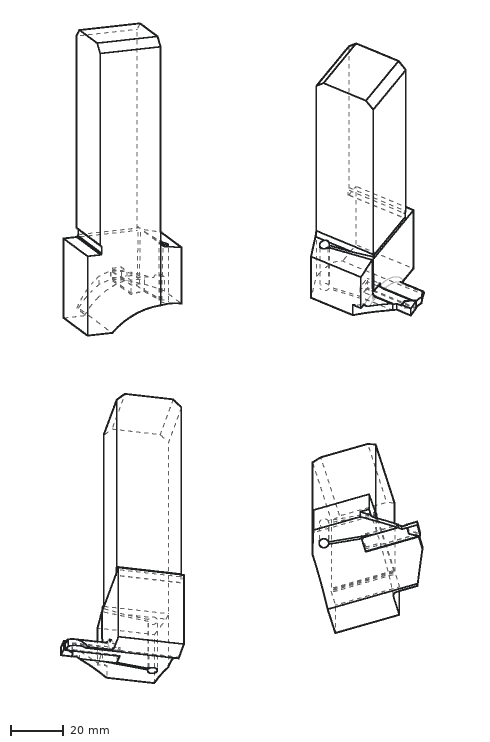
import cadquery as cq
import math

HEAD_LENGTH = 25.7
HEAD_WIDTH = 40.0
HEAD_HEIGHT = 31.8
TOTAL_HEIGHT = 115.7
SHANK_FRONT = 5.2
SHANK_BACK = 30.1
SHANK_CHAMFER = 3.2
SHOULDER_STEP = 0.3
SHOULDER_HEIGHT = 1.0
UNDERCUT_DEPTH = 0.7
UNDERCUT_FOOT = 0.5
UNDERCUT_TOP = 35.6

JAW_NECK_HEIGHT = 33.7
JAW_NECK_Y = 31.7
JAW_NECK_FOOT = 32.2
JAW_BACK_HEIGHT = 30.1
JAW_BACK_LENGTH = 22.2

ARC_CENTRE_Y = 31.2
BLADE_TOP = 12.5
BLADE_UNDERSIDE = 8.9
TOP_ARC_FOOT_Y = 9.3
UNDERSIDE_ARC_FOOT_Y = 10.2
BLADE_REACH = 15.5
BLADE_FILLET = 1.5
BLADE_BEVEL_Y = 20.5
BLADE_FOOT_REACH = 10.1
RELIEF_ROOT_Y = 37.5
RELIEF_TOP = 13.2

SLIT_WIDTH = 0.9
SLIT_ENTRY_Y = 30.4
SLIT_LEAN = 0.7
HOLE_X = 20.1
HOLE_Y = 33.3
HOLE_RADIUS = 1.9

INSERT_BOTTOM_Y = 25.5
INSERT_TOP_Y = 31.1
RAKE_Y = 30.1
TIP_REACH = 16.3
TIP_BACK_REACH = 12.1
TIP_HEEL_Y = 27.5
TIP_CLEARANCE = 0.2
RAKE_BACK_REACH = 10.2
JAW_TIP_REACH = 8.9
TIP_UNDERSIDE = 8.8
TIP_TOP = 12.6
INSERT_TOP = 12.1
SEAT_DEPTH = 5.8
SEAT_TOP = 14.0

MARGIN = 5.8


def arc_prism(peak, foot_y, x_start, x_end):
    """Cylinder segment below an arc of given peak that meets Z = 0 at foot_y."""
    half_span = ARC_CENTRE_Y - foot_y
    radius = (half_span**2 + peak**2) / (2 * peak)
    return (
        cq.Workplane("YZ", origin=(x_start, ARC_CENTRE_Y, peak - radius))
        .circle(radius)
        .extrude(x_end - x_start)
    )


def make_head():
    side = [
        (0, 0),
        (HEAD_WIDTH, 0),
        (HEAD_WIDTH, JAW_BACK_HEIGHT),
        (JAW_NECK_Y, JAW_NECK_FOOT),
        (SHANK_BACK, JAW_NECK_HEIGHT),
        (SHANK_BACK, HEAD_HEIGHT),
        (0, HEAD_HEIGHT),
    ]
    head = cq.Workplane("YZ").polyline(side).close().extrude(HEAD_LENGTH)
    back_bevel = (
        cq.Workplane("XY")
        .polyline([(JAW_BACK_LENGTH, HEAD_WIDTH), (HEAD_LENGTH, HEAD_WIDTH), (HEAD_LENGTH, SHANK_BACK)])
        .close()
        .extrude(TOTAL_HEIGHT)
    )
    return head.cut(back_bevel)


def make_shank():
    shoulder_top = HEAD_HEIGHT + SHOULDER_HEIGHT
    outline = [
        (0, HEAD_HEIGHT),
        (HEAD_LENGTH, HEAD_HEIGHT),
        (HEAD_LENGTH, TOTAL_HEIGHT - SHANK_CHAMFER),
        (HEAD_LENGTH - SHANK_CHAMFER, TOTAL_HEIGHT),
        (SHOULDER_STEP + SHANK_CHAMFER, TOTAL_HEIGHT),
        (SHOULDER_STEP, TOTAL_HEIGHT - SHANK_CHAMFER),
        (SHOULDER_STEP, shoulder_top),
    ]
    shank = (
        cq.Workplane("XZ", origin=(0, SHANK_BACK, 0))
        .polyline(outline)
        .close()
        .extrude(SHANK_BACK - SHANK_FRONT)
    )
    undercut_y = SHANK_FRONT + UNDERCUT_DEPTH
    undercut = (
        cq.Workplane("YZ")
        .polyline([
            (SHANK_FRONT, HEAD_HEIGHT),
            (undercut_y - UNDERCUT_FOOT, HEAD_HEIGHT),
            (undercut_y, HEAD_HEIGHT + UNDERCUT_FOOT),
            (undercut_y, UNDERCUT_TOP - UNDERCUT_DEPTH),
            (SHANK_FRONT, UNDERCUT_TOP),
        ])
        .close()
        .extrude(HEAD_LENGTH)
    )
    return shank.cut(undercut)


def make_blade_segment():
    """Full-reach blade above Z = 0, still without its plan shape and underside."""
    keep = cq.Workplane("XY").box(
        BLADE_REACH, HEAD_WIDTH, TOTAL_HEIGHT, centered=False
    ).translate((-BLADE_REACH, 0, 0))
    return arc_prism(BLADE_TOP, TOP_ARC_FOOT_Y, -BLADE_REACH, 0).intersect(keep)


def fillet_blade_root(body):
    near = SHOULDER_STEP / 2
    root = cq.selectors.BoxSelector(
        (-near, 0, 0), (near, HEAD_WIDTH, HEAD_HEIGHT)
    )
    return body.edges("%CIRCLE").edges(root).fillet(BLADE_FILLET)


def make_back_relief():
    """Slanted cut behind the upper blade, running on through the head corner."""
    slope = (RELIEF_ROOT_Y - INSERT_TOP_Y) / JAW_TIP_REACH
    back_y = HEAD_WIDTH + MARGIN
    far_x = -BLADE_REACH - MARGIN
    return (
        cq.Workplane("XY")
        .polyline([
            (far_x, RELIEF_ROOT_Y + slope * far_x),
            ((back_y - RELIEF_ROOT_Y) / slope, back_y),
            (far_x, back_y),
        ])
        .close()
        .extrude(RELIEF_TOP)
    )


def make_front_bevel():
    """Slanted cut across the free end of the lower blade."""
    return (
        cq.Workplane("XY")
        .polyline([
            (-BLADE_REACH, BLADE_BEVEL_Y),
            (-BLADE_FOOT_REACH, TOP_ARC_FOOT_Y),
            (-BLADE_REACH, TOP_ARC_FOOT_Y),
        ])
        .close()
        .extrude(BLADE_TOP)
    )


def make_insert_slot():
    """Seat splitting the blade and running into the head, open on the underside."""
    return cq.Workplane("XY").box(
        BLADE_REACH + SEAT_DEPTH, INSERT_TOP_Y - INSERT_BOTTOM_Y, SEAT_TOP, centered=False
    ).translate((-BLADE_REACH, INSERT_BOTTOM_Y, 0))


def make_slit():
    half = SLIT_WIDTH / 2
    end_y = HOLE_Y - half
    slit = (
        cq.Workplane("XY")
        .polyline([
            (0, SLIT_ENTRY_Y - half),
            (HOLE_X, end_y - half),
            (HOLE_X, end_y + half),
            (0, SLIT_ENTRY_Y + half),
        ])
        .close()
        .extrude(HEAD_HEIGHT + MARGIN)
    )
    lean_angle = math.degrees(math.atan(SLIT_LEAN / HEAD_HEIGHT))
    slit = slit.rotate((0, SLIT_ENTRY_Y, 0), (1, SLIT_ENTRY_Y, 0), -lean_angle)
    hole = cq.Workplane("XY").center(HOLE_X, HOLE_Y).circle(HOLE_RADIUS).extrude(TOTAL_HEIGHT)
    return slit.union(hole)


def make_holder():
    body = make_head().union(make_blade_segment())
    body = fillet_blade_root(body)
    body = body.union(make_shank())
    underside = arc_prism(
        BLADE_UNDERSIDE, UNDERSIDE_ARC_FOOT_Y, -BLADE_REACH - MARGIN, HEAD_LENGTH + MARGIN
    )
    body = body.cut(underside)
    for cutter in (make_back_relief(), make_front_bevel(), make_insert_slot(), make_slit()):
        body = body.cut(cutter)
    return body


def make_insert():
    bar = (
        cq.Workplane("XY", origin=(0, 0, BLADE_UNDERSIDE))
        .polyline([
            (-BLADE_REACH, INSERT_BOTTOM_Y),
            (SEAT_DEPTH, INSERT_BOTTOM_Y),
            (SEAT_DEPTH, INSERT_TOP_Y),
            (-JAW_TIP_REACH, INSERT_TOP_Y),
            (-RAKE_BACK_REACH, RAKE_Y),
            (-BLADE_REACH, RAKE_Y),
        ])
        .close()
        .extrude(INSERT_TOP - BLADE_UNDERSIDE)
    )
    tip = (
        cq.Workplane("XY", origin=(0, 0, TIP_UNDERSIDE))
        .polyline([
            (-TIP_REACH, RAKE_Y),
            (-TIP_REACH + TIP_CLEARANCE, INSERT_BOTTOM_Y),
            (-BLADE_REACH, INSERT_BOTTOM_Y),
            (-TIP_BACK_REACH, TIP_HEEL_Y),
            (-TIP_BACK_REACH, RAKE_Y),
        ])
        .close()
        .extrude(TIP_TOP - TIP_UNDERSIDE)
    )
    return bar.union(tip)


holder = make_holder()
insert = make_insert()
result = cq.Compound.makeCompound([holder.val(), insert.val()])